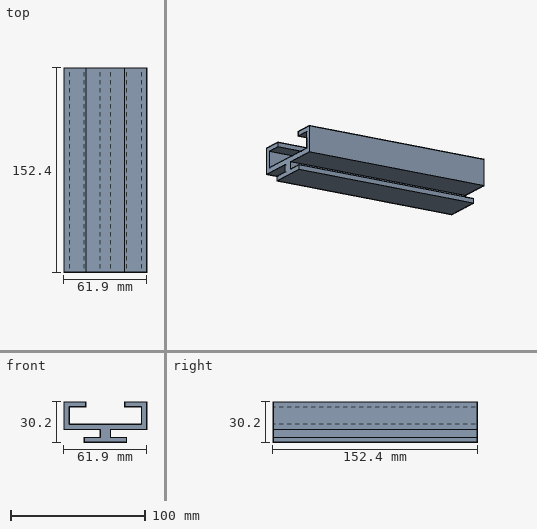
import cadquery as cq

length = 152.4
width = 61.9
height = 30.2

channel_height = 20.7
side_wall = 4.1
floor_thickness = 4.1
lip_thickness = 3.7
mouth_width = 29.0

foot_width = 31.7
foot_thickness = 3.7
stem_width = 8.0

channel_bottom = height - channel_height


def bar(bar_width, bottom, top):
    """Full-length bar centred on X, between two heights."""
    return (
        cq.Workplane("XY")
        .box(bar_width, length, top - bottom, centered=(True, True, False))
        .translate((0, 0, bottom))
    )


channel = bar(width, channel_bottom, height)
cavity_floor = channel_bottom + floor_thickness
cavity = bar(width - 2 * side_wall, cavity_floor, height - lip_thickness)
mouth = bar(mouth_width, cavity_floor, height)
channel = channel.cut(cavity).cut(mouth)

flange = bar(foot_width, 0, foot_thickness)
stem = bar(stem_width, 0, channel_bottom)

result = channel.union(stem).union(flange)